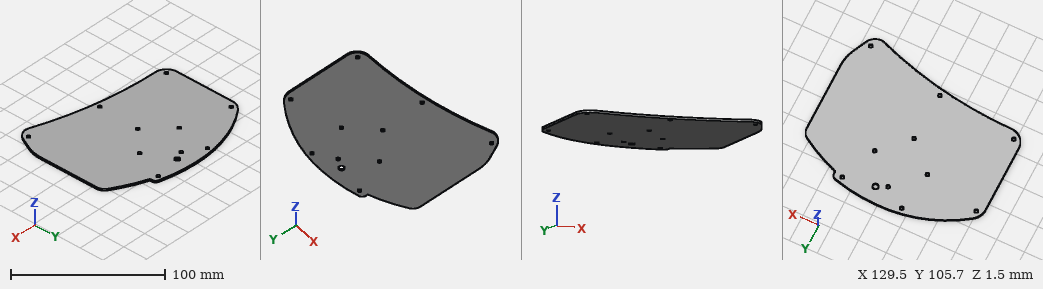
import cadquery as cq

length = 129.5
width = 105.7
thickness = 1.5

left = -length / 2
right = length / 2
top = width / 2
bottom = -width / 2

screw_diameter = 2.5
cable_diameter = 4.0
cable_position = (6.5, 41.6)
rim_positions = [
    (-59.7, 28.4),
    (-15.5, 47.9),
    (28.8, 45.2),
    (-59.1, -28.0),
    (-2.5, -34.6),
    (53.2, -46.2),
]

mount_center = (-0.9, 19.2)
mount_radius = 19.0
mount_count = 4


def make_plate():
    """Flat plate with bowed long edges, rounded corners and a step in the top edge."""
    outline = (
        cq.Workplane("XY")
        .moveTo(left, -24.0)
        .lineTo(left, 25.0)
        .threePointArc((-63.5, 30.0), (-59.9, 34.1))
        .threePointArc((-39.3, 45.5), (0, top))
        .threePointArc((16.3, 51.7), (32.3, 48.5))
        .threePointArc((34.1, 47.2), (34.7, 45.2))
        .lineTo(34.7, 43.4)
        .threePointArc((48.3, 37.7), (61.1, 30.6))
        .threePointArc((63.9, 27.7), (right, 24.0))
        .lineTo(right, -25.3)
        .threePointArc((64.0, -32.0), (61.8, -38.1))
        .lineTo(57.3, -47.4)
        .threePointArc((53.8, -51.3), (48.8, bottom))
        .lineTo(47.0, -52.6)
        .threePointArc((-2.7, -38.7), (-55.7, -33.8))
        .threePointArc((-62.2, -30.6), (left, -24.0))
        .close()
    )
    return outline.extrude(thickness)


def cut_holes(plate, positions, diameter):
    """Drill through holes at the given XY positions."""
    drills = cq.Workplane("XY").pushPoints(positions).circle(diameter / 2).extrude(thickness)
    return plate.cut(drills)


def cut_mount_holes(plate):
    """Drill the ring of mounting holes."""
    drills = (
        cq.Workplane("XY")
        .center(*mount_center)
        .polarArray(mount_radius, 0, 360, mount_count)
        .circle(screw_diameter / 2)
        .extrude(thickness)
    )
    return plate.cut(drills)


result = make_plate()
result = cut_holes(result, rim_positions, screw_diameter)
result = cut_holes(result, [cable_position], cable_diameter)
result = cut_mount_holes(result)